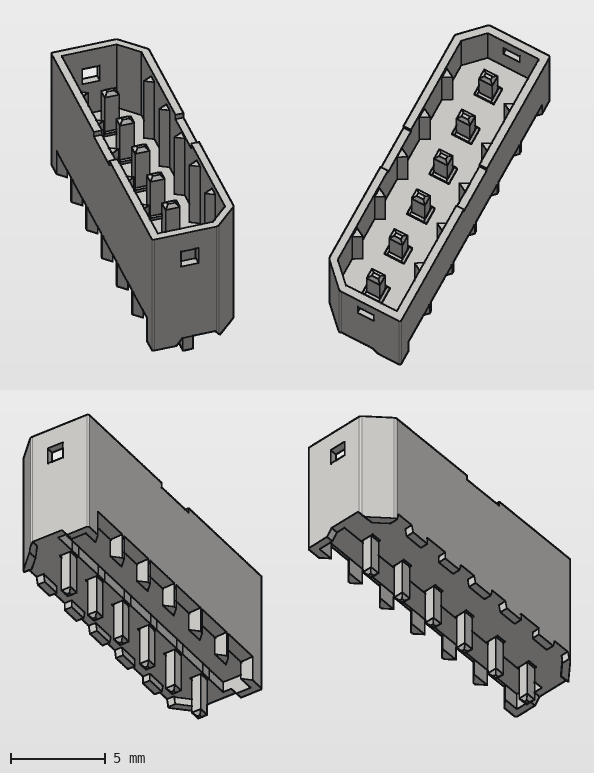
import cadquery as cq

LENGTH = 16.7
FRONT_Y = -2.59
DEPTH = 5.0
BACK_Y = FRONT_Y + DEPTH
HEIGHT = 7.5
KEY_CHAMFER = 1.34
KEY_EDGE_RADIUS = 0.25
FRONT_EDGE_RADIUS = 0.1

END_WALL = 0.43
SIDE_WALL = 0.45
CAVITY_CHAMFER = 1.04
FLOOR_Z = 3.24

RIB_WIDTH = 0.55
RIB_DEPTH = 0.5
RIB_TOP_Z = 7.08

NOTCH_WIDTH = 2.57
NOTCH_DEPTH = 0.3
WINDOW_WIDTH = 0.97
WINDOW_HEIGHT = 1.0
WINDOW_BOTTOM_Z = 5.3
WINDOW_CENTER_Y = -0.5

UNDERCUT = 0.45
GROOVE_ROOF_WIDTH = 1.84
GROOVE_MOUTH_WIDTH = 2.49
PORT_MOUTH_WIDTH = 2.34
PORT_MOUTH_HEIGHT = 1.57
PORT_BEVEL = SIDE_WALL
PORT_WIDTH = PORT_MOUTH_WIDTH - 2 * PORT_BEVEL
PORT_HEIGHT = PORT_MOUTH_HEIGHT - PORT_BEVEL
GAP_ROOF_WIDTH = 1.05
GAP_MOUTH_WIDTH = 1.29

PIN_COUNT = 6
PITCH = 2.5
PIN_WIDTH = 0.6
TAIL_DEPTH = 0.57
BLADE_DEPTH = 0.8
PIN_TOP_Z = 5.91
PIN_BOTTOM_Z = -2.1
PIN_BEVEL = 0.2
BLADE_FRONT_Y = -BLADE_DEPTH / 2

BOSS_WIDTH = 0.95
BOSS_DEPTH = 1.17
BOSS_BEVEL_DEPTH = 0.17
BOSS_BEVEL_DROP = 0.07
BOSS_HEIGHT = 0.17

PIN_XS = [PITCH * (i - (PIN_COUNT - 1) / 2) for i in range(PIN_COUNT)]
RIB_XS = [x + PITCH / 2 for x in PIN_XS[:-1]]
WIDE_GAP_PINS = (1, 4)


def box(x_range, y_range, z_range):
    """Box between pairs of limits."""
    (x0, x1), (y0, y1), (z0, z1) = x_range, y_range, z_range
    return cq.Workplane("XY").box(x1 - x0, y1 - y0, z1 - z0, centered=False).translate((x0, y0, z0))


def centered_range(center, size):
    return (center - size / 2, center + size / 2)


def keyed_prism(inset_x, inset_y, chamfer, z_range):
    """Prism of the housing outline, inset from its walls, with the back corners cut off."""
    half = LENGTH / 2 - inset_x
    front = FRONT_Y + inset_y
    back = BACK_Y - inset_y
    outline = [
        (-half, front),
        (half, front),
        (half, back - chamfer),
        (half - chamfer, back),
        (chamfer - half, back),
        (-half, back - chamfer),
    ]
    z0, z1 = z_range
    return cq.Workplane("XY").workplane(offset=z0).polyline(outline).close().extrude(z1 - z0)


def make_shell():
    shell = keyed_prism(0, 0, KEY_CHAMFER, (0, HEIGHT))
    shell = shell.edges("|Z and <Y").fillet(FRONT_EDGE_RADIUS)
    key_edges = cq.selectors.BoxSelector(
        (-LENGTH, 0, 0),
        (LENGTH, 2 * BACK_Y, HEIGHT),
    )
    shell = shell.edges("|Z").edges(key_edges).fillet(KEY_EDGE_RADIUS)
    return shell.cut(keyed_prism(END_WALL, SIDE_WALL, CAVITY_CHAMFER, (FLOOR_Z, HEIGHT)))


def make_rib(x, wall_y, inward):
    """Triangular rib on a long wall; inward is the Y direction of its tip."""
    outline = [
        (x - RIB_WIDTH / 2, wall_y),
        (x + RIB_WIDTH / 2, wall_y),
        (x, wall_y + inward * RIB_DEPTH),
    ]
    return cq.Workplane("XY").workplane(offset=FLOOR_Z).polyline(outline).close().extrude(RIB_TOP_Z - FLOOR_Z)


def make_boss(x):
    """Boss around a pin, bevelled along its front and back top edges."""
    block = box(
        centered_range(x, BOSS_WIDTH),
        centered_range(0, BOSS_DEPTH),
        (FLOOR_Z, FLOOR_Z + BOSS_HEIGHT),
    )
    return block.faces(">Z").edges("|X").chamfer(BOSS_BEVEL_DROP, BOSS_BEVEL_DEPTH)


def trapezoid(roof_width, mouth_width):
    """Groove section standing on the housing bottom, as (across, Z) points."""
    return [
        (-mouth_width / 2, 0),
        (mouth_width / 2, 0),
        (roof_width / 2, UNDERCUT),
        (-roof_width / 2, UNDERCUT),
    ]


def make_hollow():
    """Hollow under the floor; it rises to the port height up to the front faces of the pin blades."""
    low = keyed_prism(END_WALL, SIDE_WALL, CAVITY_CHAMFER, (0, UNDERCUT))
    half = LENGTH / 2 - END_WALL
    high = box((-half, half), (FRONT_Y + SIDE_WALL, BLADE_FRONT_Y), (0, PORT_HEIGHT))
    return low.union(high)


def make_end_groove():
    """Groove along the pin row that opens both end walls."""
    section = trapezoid(GROOVE_ROOF_WIDTH, GROOVE_MOUTH_WIDTH)
    return cq.Workplane("YZ").polyline(section).close().extrude(LENGTH / 2, both=True)


def make_front_port(x):
    """Port through the front wall, tapering inwards from its mouth."""
    return (
        cq.Workplane("XZ", origin=(x, FRONT_Y, 0))
        .rect(PORT_MOUTH_WIDTH, 2 * PORT_MOUTH_HEIGHT)
        .workplane(offset=-PORT_BEVEL)
        .rect(PORT_WIDTH, 2 * PORT_HEIGHT)
        .loft(ruled=True)
    )


def make_back_gap(x, is_wide):
    """Gap through the foot of the back wall."""
    if is_wide:
        section = trapezoid(PORT_WIDTH, PORT_WIDTH)
    else:
        section = trapezoid(GAP_ROOF_WIDTH, GAP_MOUTH_WIDTH)
    return cq.Workplane("XZ", origin=(x, 0, 0)).polyline(section).close().extrude(-BACK_Y)


def make_pin(x):
    """Pin with a thin tail below its shoulder and a deeper blade above, both ends bevelled."""
    tail = box(centered_range(x, PIN_WIDTH), centered_range(0, TAIL_DEPTH), (PIN_BOTTOM_Z, UNDERCUT))
    tail = tail.faces("<Z").chamfer(PIN_BEVEL)
    blade = box(centered_range(x, PIN_WIDTH), centered_range(0, BLADE_DEPTH), (UNDERCUT, PIN_TOP_Z))
    blade = blade.faces(">Z").chamfer(PIN_BEVEL)
    return tail.union(blade)


def cut_wall_openings(housing):
    """Cut the notch in both long rims and the window in both end walls."""
    through_x = (-LENGTH / 2, LENGTH / 2)
    through_y = (FRONT_Y, BACK_Y)
    notch = box(centered_range(0, NOTCH_WIDTH), through_y, (HEIGHT - NOTCH_DEPTH, HEIGHT))
    window_z = (WINDOW_BOTTOM_Z, WINDOW_BOTTOM_Z + WINDOW_HEIGHT)
    windows = box(through_x, centered_range(WINDOW_CENTER_Y, WINDOW_WIDTH), window_z)
    return housing.cut(notch).cut(windows)


def make_housing(pins):
    housing = make_shell()
    for x in RIB_XS:
        housing = housing.union(make_rib(x, FRONT_Y + SIDE_WALL, 1))
        housing = housing.union(make_rib(x, BACK_Y - SIDE_WALL, -1))
    for x in PIN_XS:
        housing = housing.union(make_boss(x))

    housing = cut_wall_openings(housing)
    housing = housing.cut(make_hollow()).cut(make_end_groove())
    for i, x in enumerate(PIN_XS):
        housing = housing.cut(make_front_port(x))
        housing = housing.cut(make_back_gap(x, i in WIDE_GAP_PINS))
    for pin in pins:
        housing = housing.cut(pin)
    return housing


pins = [make_pin(x) for x in PIN_XS]
housing = make_housing(pins)

result = cq.Compound.makeCompound([housing.val(), *[pin.val() for pin in pins]])